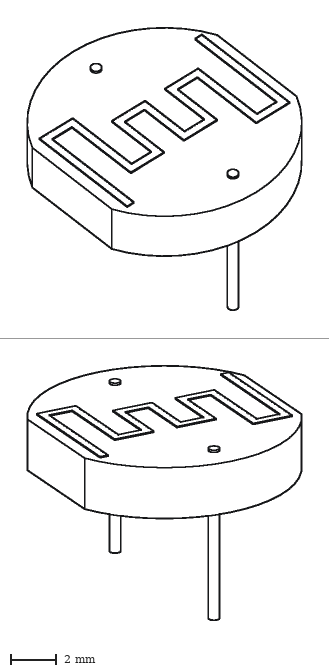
import cadquery as cq


disc_diameter = 12.0
width_across_flats = 10.8
disc_thickness = 2.4

lead_diameter = 0.5
lead_spacing = 9.0
lead_length_below = 5.5
lead_height_above = 0.1

track_width = 0.4
track_thickness = 0.05
track_pitch = 1.55
end_reach = 3.0
outer_turn_reach = 2.77
inner_turn_reach = 1.5
track_top = disc_thickness + lead_height_above
track_bottom = track_top - track_thickness


def make_disc():
    """Round disc cut by two flats parallel to X."""
    round_disc = cq.Workplane("XY").circle(disc_diameter / 2).extrude(disc_thickness)
    flats = cq.Workplane("XY").rect(disc_diameter, width_across_flats).extrude(disc_thickness)
    return round_disc.intersect(flats)


def make_lead(x):
    """Straight round lead that stands slightly proud of the disc top."""
    lead_length = lead_length_below + disc_thickness + lead_height_above
    return (
        cq.Workplane("XY", origin=(x, 0, -lead_length_below))
        .circle(lead_diameter / 2)
        .extrude(lead_length)
    )


def make_sensor_body():
    """Disc and its two leads as one solid."""
    body = make_disc()
    for side in (-1, 1):
        body = body.union(make_lead(side * lead_spacing / 2))
    return body


def make_track_segment(start, end):
    """Straight piece between two centreline points, with a square overhang at both ends."""
    size_x = abs(end[0] - start[0]) + track_width
    size_y = abs(end[1] - start[1]) + track_width
    middle = ((start[0] + end[0]) / 2, (start[1] + end[1]) / 2, track_bottom)
    return cq.Workplane("XY", origin=middle).rect(size_x, size_y).extrude(track_thickness)


def make_track():
    """Serpentine track, unchanged by a half turn about Z."""
    half_width = track_width / 2
    end_x = end_reach - half_width
    outer_x = outer_turn_reach - half_width
    inner_x = inner_turn_reach - half_width

    turns = [-end_x, outer_x, -inner_x, inner_x, -inner_x, inner_x, -outer_x, end_x]
    run_count = len(turns) - 1
    first_run_y = track_pitch * (run_count - 1) / 2

    path = []
    for run in range(run_count):
        y = first_run_y - run * track_pitch
        path.append((turns[run], y))
        path.append((turns[run + 1], y))

    track = make_track_segment(path[0], path[1])
    for start, end in zip(path[1:], path[2:]):
        track = track.union(make_track_segment(start, end))
    return track.clean()


sensor_body = make_sensor_body()
track = make_track()

result = cq.Compound.makeCompound([sensor_body.solids().val(), track.solids().val()])